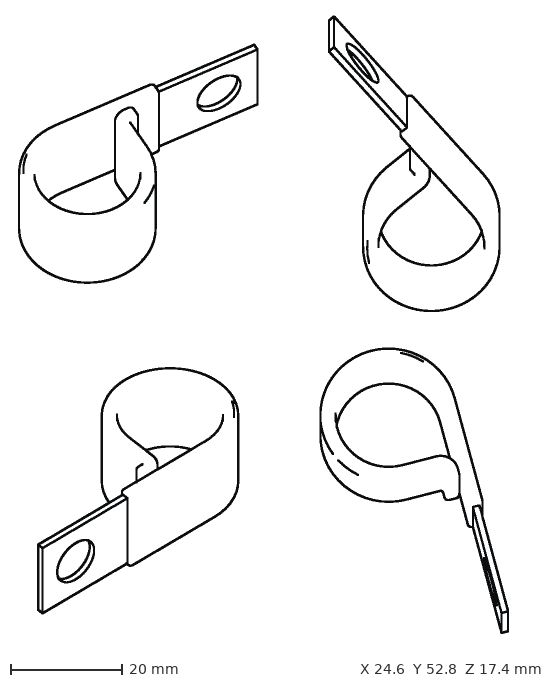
import cadquery as cq
import math


strap_thickness = 1.245
strap_width = 15.875
cushion_wall = 0.7625
band_thickness = strap_thickness + 2 * cushion_wall
band_width = strap_width + 2 * cushion_wall

loop_inner_radius = 9.525
loop_outer_radius = loop_inner_radius + band_thickness

leg_end_y = 20.23
tab_end_y = 40.465
leg_mid_x = -(loop_inner_radius + loop_outer_radius) / 2
hole_diameter = 8.8
hole_to_tab_end = 7.9

hook_gap = 0.02
hook_inner_radius = 0.4
hook_outer_radius = hook_inner_radius + band_thickness
hook_straight = 1.65
hook_left_x = -loop_inner_radius + hook_gap
hook_right_x = hook_left_x + band_thickness
hook_center_x = hook_left_x + hook_outer_radius
hook_center_y = loop_outer_radius + hook_inner_radius
hook_end_y = hook_center_y + hook_straight


def hook_bend_midpoint(radius):
    """Middle of the quarter bend that joins the hook to the loop."""
    diagonal = radius * math.sqrt(0.5)
    return (hook_center_x - diagonal, hook_center_y - diagonal)


def loop_quarter_midpoint(radius):
    """Middle of the loop's quarter between +X and +Y."""
    diagonal = radius * math.sqrt(0.5)
    return (diagonal, diagonal)


def cushioned_band():
    """Leg, three-quarter loop and hook, with every outer edge rounded by the cushion."""
    band = (
        cq.Workplane("XY")
        .workplane(offset=-band_width / 2)
        .moveTo(-loop_outer_radius, leg_end_y)
        .lineTo(-loop_outer_radius, 0)
        .threePointArc((0, -loop_outer_radius), (loop_outer_radius, 0))
        .threePointArc(loop_quarter_midpoint(loop_outer_radius), (0, loop_outer_radius))
        .lineTo(hook_center_x, loop_outer_radius)
        .threePointArc(hook_bend_midpoint(hook_inner_radius), (hook_right_x, hook_center_y))
        .lineTo(hook_right_x, hook_end_y)
        .lineTo(hook_left_x, hook_end_y)
        .lineTo(hook_left_x, hook_center_y)
        .threePointArc(hook_bend_midpoint(hook_outer_radius), (hook_center_x, loop_inner_radius))
        .lineTo(0, loop_inner_radius)
        .threePointArc(loop_quarter_midpoint(loop_inner_radius), (loop_inner_radius, 0))
        .threePointArc((0, -loop_inner_radius), (-loop_inner_radius, 0))
        .lineTo(-loop_inner_radius, leg_end_y)
        .close()
        .extrude(band_width)
    )
    faces_toward_tab = band.faces("+Y")
    leg_end_rim = faces_toward_tab.faces(">Y").edges()
    hook_end_rim = faces_toward_tab.faces(">Y[-2]").edges()
    side_rims = band.faces("|Z").edges()
    return side_rims.add(leg_end_rim).add(hook_end_rim).fillet(cushion_wall)


def mounting_tab():
    """Bare strap from inside the leg to the tab end, with its bolt hole."""
    tab_length = tab_end_y - leg_end_y + cushion_wall
    tab = cq.Workplane("XY").box(strap_thickness, tab_length, strap_width)
    tab = tab.translate((leg_mid_x, tab_end_y - tab_length / 2, 0))
    hole = (
        cq.Workplane("YZ")
        .workplane(offset=leg_mid_x)
        .center(tab_end_y - hole_to_tab_end, 0)
        .circle(hole_diameter / 2)
        .extrude(strap_thickness, both=True)
    )
    return tab.cut(hole)


result = cushioned_band().union(mounting_tab())